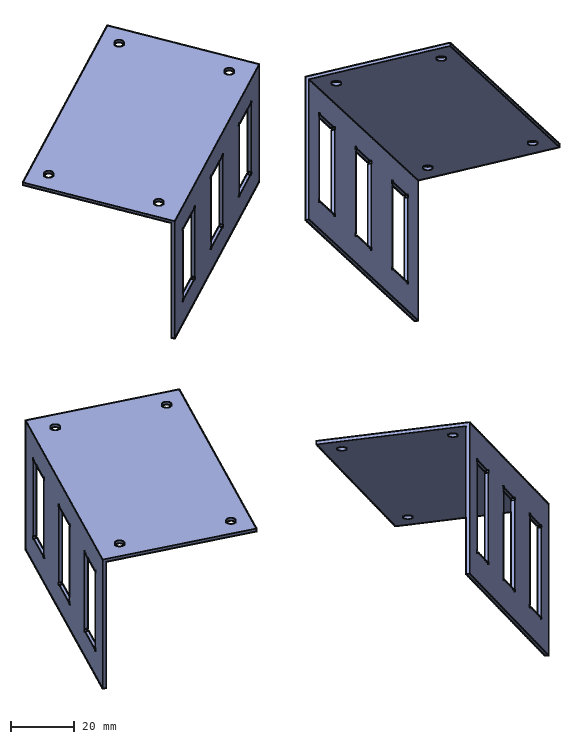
import cadquery as cq

length = 76.2
leg = 50.8
thickness = 1.2

hole_diameter = 3.1
hole_edge_inset = 6.3
hole_spacing_x = 36.8
hole_spacing_y = length - 2 * hole_edge_inset

window_count = 3
window_width = 10.5
window_height = 30.7
window_pitch = length / window_count
relief_diameter = 0.9


def make_angle():
    """L-section centred on the origin, with its corner at +X, +Z."""
    flange = cq.Workplane("XY").box(leg, length, thickness)
    flange = flange.translate((0, 0, (leg - thickness) / 2))
    panel = cq.Workplane("XY").box(thickness, length, leg)
    panel = panel.translate(((leg - thickness) / 2, 0, 0))
    return flange.union(panel)


def make_mounting_holes():
    """Four cylinders passing through the flange."""
    pattern_center_x = -leg / 2 + hole_edge_inset + hole_spacing_x / 2
    return (
        cq.Workplane("XY", origin=(pattern_center_x, 0, leg / 2 - thickness))
        .rect(hole_spacing_x, hole_spacing_y, forConstruction=True)
        .vertices()
        .circle(hole_diameter / 2)
        .extrude(thickness)
    )


def make_window(center_y):
    """Window cutter at mid-height of the panel, with a relief on each corner."""
    plane = cq.Workplane("YZ", origin=(leg / 2 - thickness, center_y, 0))
    opening = plane.rect(window_width, window_height).extrude(thickness)
    reliefs = (
        plane.rect(window_width, window_height, forConstruction=True)
        .vertices()
        .circle(relief_diameter / 2)
        .extrude(thickness)
    )
    return opening.union(reliefs)


result = make_angle().cut(make_mounting_holes())
for index in range(window_count):
    window_y = (index - (window_count - 1) / 2) * window_pitch
    result = result.cut(make_window(window_y))